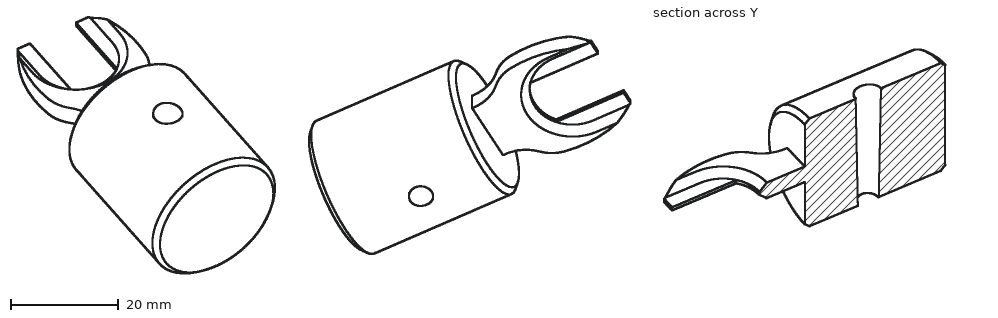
import cadquery as cq
import math

total_length = 57.0
body_diameter = 27.0
body_start = 26.0
body_chamfer = 1.0

hole_x = 40.0
hole_top_diameter = 5.5
hole_bottom_diameter = 4.5

plate_thickness = 4.0
web_thickness = 0.8
slot_width = 10.15
mouth_radius = 16.0 / 2
mouth_center_x = 8.05

tip_half_width = 7.8
crown_x = 11.8
crown_half_width = 11.05
shoulder_start_x = 15.5
neck_start_x = 19.6
neck_start_half_width = 8.6
neck_half_width = 6.1

crown_rise = crown_half_width - tip_half_width
crown_radius = (crown_x**2 + crown_rise**2) / (2 * crown_rise)


def crown_y(x):
    """Half width of the fork on its crown arc."""
    return crown_half_width - crown_radius + math.sqrt(crown_radius**2 - (x - crown_x) ** 2)


def make_body():
    body = cq.Workplane("YZ", origin=(body_start, 0, 0)).circle(body_diameter / 2)
    return body.extrude(total_length - body_start).edges().chamfer(body_chamfer)


def make_fork_plate():
    half = (
        cq.Workplane("XY", origin=(0, 0, -plate_thickness / 2))
        .lineTo(0, tip_half_width)
        .threePointArc((crown_x, crown_half_width), (shoulder_start_x, crown_y(shoulder_start_x)))
        .tangentArcPoint((neck_start_x, neck_start_half_width), relative=False)
        .tangentArcPoint((body_start, neck_half_width), relative=False)
        .lineTo(body_start + body_chamfer, neck_half_width)
        .lineTo(body_start + body_chamfer, 0)
        .close()
        .extrude(plate_thickness)
    )
    return half.union(half.mirror("XZ"))


def make_mouth(height, bottom_z, wall_angle=0):
    """U-shaped cutter open past the tips; a negative wall angle flares it upward."""
    overrun = 2 * mouth_radius
    return (
        cq.Workplane("XY", origin=(0, 0, bottom_z))
        .moveTo(-overrun, -mouth_radius)
        .lineTo(mouth_center_x, -mouth_radius)
        .threePointArc((mouth_center_x + mouth_radius, 0), (mouth_center_x, mouth_radius))
        .lineTo(-overrun, mouth_radius)
        .close()
        .extrude(height, taper=wall_angle)
    )


def make_fork():
    bevel_depth = (plate_thickness - web_thickness) / 2
    upper_bevel = make_mouth(bevel_depth, web_thickness / 2, wall_angle=-45)
    lower_bevel = upper_bevel.mirror("XY")

    slot_length = 2 * (mouth_center_x + mouth_radius)
    slot = cq.Workplane("XY").box(slot_length, slot_width, plate_thickness)
    slot = slot.intersect(make_mouth(plate_thickness, -plate_thickness / 2))
    return make_fork_plate().cut(upper_bevel).cut(lower_bevel).cut(slot)


def make_cross_hole():
    return (
        cq.Workplane("XY", origin=(hole_x, 0, -body_diameter / 2))
        .circle(hole_bottom_diameter / 2)
        .workplane(offset=body_diameter)
        .circle(hole_top_diameter / 2)
        .loft()
    )


result = make_body().union(make_fork()).cut(make_cross_hole())